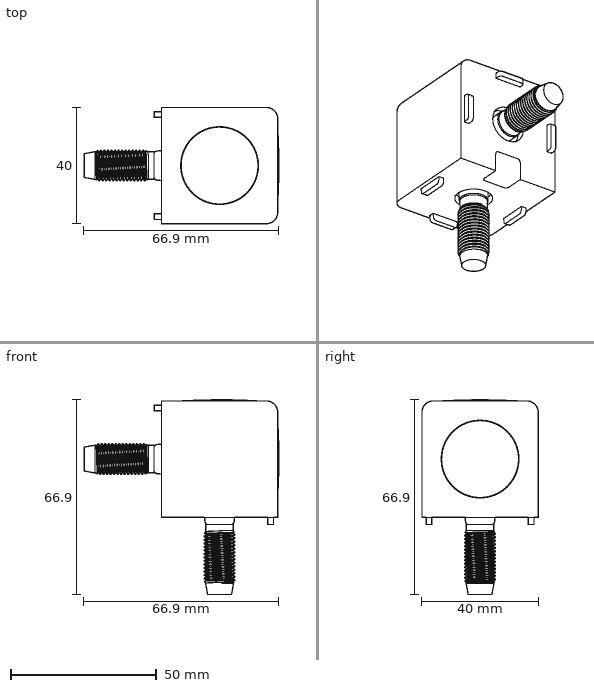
import cadquery as cq
import math


OVERALL_SIZE = 66.9
BLOCK_SIZE = 40.0
EDGE_RADIUS = 4.0
HALF_BLOCK = BLOCK_SIZE / 2

CAP_DIAMETER = 26.35
CAP_DEPTH = 1.0
DOME_RISE = 0.4
SEAT_CHAMFER = 0.2

RECESS_DIAMETER = 13.0
RECESS_DEPTH = 3.0

TAB_LENGTH = 10.4
TAB_DRAFT_ANGLE = 5.0
TAB_THICKNESS = 2.0
TAB_HEIGHT = 2.5
TAB_RADIUS = 1.15
TAB_INSET = 1.5
TAB_ANGLES = (-90, 0, 90)

NOTCH_WIDTH = 10.45
NOTCH_LEG = 7.8
NOTCH_RADIUS = 1.0

STUD_REACH = OVERALL_SIZE - BLOCK_SIZE - DOME_RISE
COLLAR_DIAMETER = 9.9
COLLAR_END = 0.8
SHANK_DIAMETER = 9.5
SHANK_START = 1.3
TIP_DIAMETER = 8.3
TIP_LENGTH = 3.4

THREAD_DIAMETER = 10.7
THREAD_START = 4.15
THREAD_END = STUD_REACH - TIP_LENGTH
THREAD_PITCH = 1.2
RIDGE_BASE = 1.1
RIDGE_CREST = 0.15
RIDGE_OVERLAP = 0.15
LEAD_IN = 2.0


def turn_to_x(part):
    """Swap the X and Z directions by a half turn about the X-Z diagonal."""
    return part.rotate((0, 0, 0), (1, 0, 1), 180)


def disc(diameter, bottom, height):
    """Upright cylinder on the Z axis."""
    return cq.Workplane("XY").workplane(offset=bottom).circle(diameter / 2).extrude(height)


def make_cap():
    """Round cap on +Z with a shallow spherical dome that rises from the block face."""
    radius = CAP_DIAMETER / 2
    sphere_radius = (radius**2 + DOME_RISE**2) / (2 * DOME_RISE)
    apex = HALF_BLOCK + DOME_RISE
    sphere = cq.Workplane("XY").sphere(sphere_radius).translate((0, 0, apex - sphere_radius))
    seat_floor = HALF_BLOCK - CAP_DEPTH
    return disc(CAP_DIAMETER, seat_floor, apex - seat_floor).intersect(sphere)


def make_cap_seat():
    """Cutter for a cap seat in +Z, with a chamfered rim."""
    seat = disc(CAP_DIAMETER, HALF_BLOCK - CAP_DEPTH, CAP_DEPTH)
    rim = (
        cq.Workplane("XY")
        .workplane(offset=HALF_BLOCK - SEAT_CHAMFER)
        .circle(CAP_DIAMETER / 2)
        .workplane(offset=SEAT_CHAMFER)
        .circle(CAP_DIAMETER / 2 + SEAT_CHAMFER)
        .loft()
    )
    return seat.union(rim)


def make_stud_recess():
    """Cutter for the round recess around the -Z stud."""
    return disc(RECESS_DIAMETER, -HALF_BLOCK, RECESS_DEPTH)


def make_tab(angle):
    """Tab on -Z with drafted, rounded ends; angle 0 is by the +X edge, counted about +Z."""
    draft = TAB_HEIGHT * math.tan(math.radians(TAB_DRAFT_ANGLE))
    base = TAB_LENGTH / 2
    tip = base - draft
    inner_face = HALF_BLOCK - TAB_INSET - TAB_THICKNESS
    return (
        cq.Workplane("YZ")
        .polyline([(-base, 0), (base, 0), (tip, -TAB_HEIGHT), (-tip, -TAB_HEIGHT)])
        .close()
        .extrude(TAB_THICKNESS)
        .edges("<Z and |X")
        .fillet(TAB_RADIUS)
        .translate((inner_face, 0, -HALF_BLOCK))
        .rotate((0, 0, 0), (0, 0, 1), angle)
    )


def make_notch():
    """Cutter for the notch: a 45 degree roof with rounded corners, open to -X and -Z."""
    roof_span = NOTCH_LEG * math.sqrt(2)
    return (
        cq.Workplane("XY")
        .box(2 * roof_span, NOTCH_WIDTH, 2 * roof_span)
        .edges(">Z and |X")
        .fillet(NOTCH_RADIUS)
        .translate((0, 0, -roof_span))
        .rotate((0, 0, 0), (0, 1, 0), 45)
        .translate((-HALF_BLOCK + NOTCH_LEG / 2, 0, -HALF_BLOCK + NOTCH_LEG / 2))
    )


def make_housing():
    """Block rounded along its outer edges, with seats, recesses and notch cut in and tabs added."""
    block = (
        cq.Workplane("XY")
        .box(BLOCK_SIZE, BLOCK_SIZE, BLOCK_SIZE)
        .edges("(>Z and (|X or >X)) or (>X and |Z)")
        .fillet(EDGE_RADIUS)
    )
    for cutter in (make_cap_seat(), make_stud_recess()):
        block = block.cut(cutter).cut(turn_to_x(cutter))
    block = block.cut(make_notch())
    for angle in TAB_ANGLES:
        tab = make_tab(angle)
        block = block.union(tab).union(turn_to_x(tab))
    return block


def make_thread():
    """Helical ridge around +Z, trimmed to tapered ends and rooted slightly inside the shank."""
    inner = SHANK_DIAMETER / 2 - RIDGE_OVERLAP
    crest = THREAD_DIAMETER / 2
    outer = crest + RIDGE_OVERLAP
    helix = cq.Wire.makeHelix(THREAD_PITCH, THREAD_END - THREAD_START, SHANK_DIAMETER / 2)
    ridge = (
        cq.Workplane("XZ")
        .polyline(
            [
                (inner, -RIDGE_BASE / 2),
                (crest, -RIDGE_CREST / 2),
                (crest, RIDGE_CREST / 2),
                (inner, RIDGE_BASE / 2),
            ]
        )
        .close()
        .sweep(cq.Workplane(helix), isFrenet=True)
        .translate((0, 0, THREAD_START))
    )
    envelope = (
        cq.Workplane("XZ")
        .polyline(
            [
                (0, THREAD_START),
                (inner, THREAD_START),
                (outer, THREAD_START + LEAD_IN),
                (outer, THREAD_END - LEAD_IN),
                (inner, THREAD_END),
                (0, THREAD_END),
            ]
        )
        .close()
        .revolve(360, (0, 0, 0), (0, 1, 0))
    )
    return ridge.intersect(envelope)


def make_stud():
    """Stud on -Z that stands on the floor of its recess."""
    core = (
        cq.Workplane("XZ")
        .polyline(
            [
                (0, -RECESS_DEPTH),
                (COLLAR_DIAMETER / 2, -RECESS_DEPTH),
                (COLLAR_DIAMETER / 2, COLLAR_END),
                (SHANK_DIAMETER / 2, SHANK_START),
                (SHANK_DIAMETER / 2, THREAD_END),
                (TIP_DIAMETER / 2, STUD_REACH),
                (0, STUD_REACH),
            ]
        )
        .close()
        .revolve(360, (0, 0, 0), (0, 1, 0))
    )
    return core.union(make_thread()).rotate((0, 0, 0), (0, 1, 0), 180).translate((0, 0, -HALF_BLOCK))


def make_pair(body):
    """The solid on its Z side and its turned copy on the matching X side."""
    return [placed.solids().val() for placed in (body, turn_to_x(body))]


housing = make_housing().solids()
studs = make_pair(make_stud())
caps = make_pair(make_cap())

result = cq.Compound.makeCompound([housing.val(), *studs, *caps])